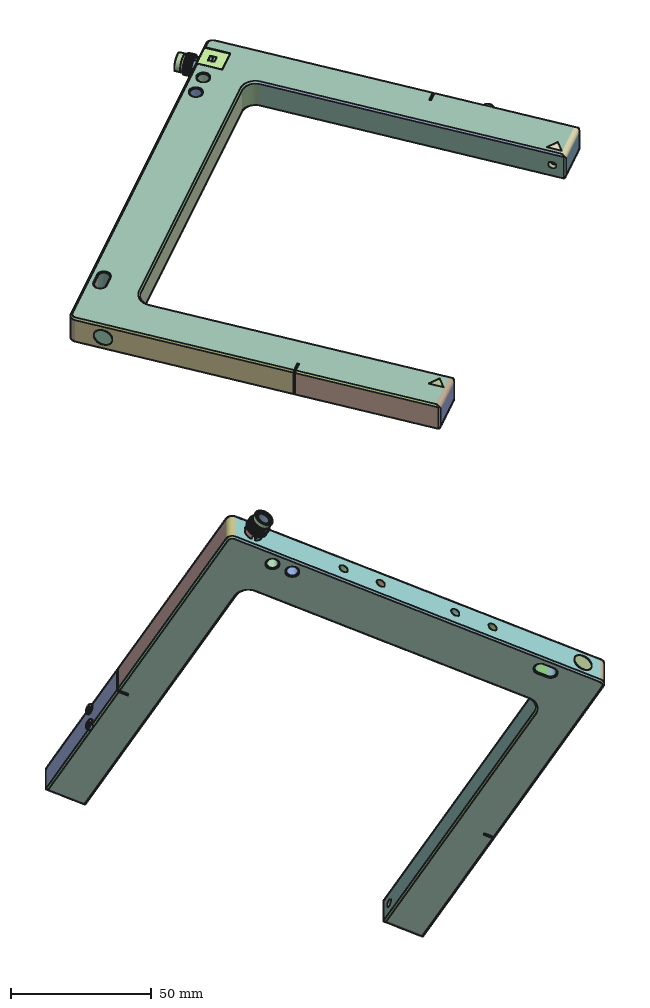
import cadquery as cq
import math

ARM_REACH = 140.0
FRAME_WIDTH = 152.0
OPENING = 120.0
SPINE_WIDTH = 20.0
THICKNESS = 12.0
OUTER_RADIUS = 2.5
INNER_RADIUS = 5.0
EDGE_CHAMFER = 0.7
TIP_RADIUS = 2.0

HALF_WIDTH = FRAME_WIDTH / 2
HALF_OPENING = OPENING / 2
TOP = THICKNESS / 2

MOUNT_X = 5.0
MOUNT_HOLE_YS = (56.0, 48.0)
MOUNT_SLOT_Y = -54.0
MOUNT_DIAMETER = 4.3
MOUNT_CHAMFER = 0.4
SLOT_TRAVEL = 4.0

SIDE_HOLE_YS = (30.0, 15.0, -15.0, -30.0)
SIDE_HOLE_DIAMETER = 3.3
SIDE_HOLE_DEPTH = 8.0

COVER_DIAMETER = 7.0
COVER_DEPTH = 0.2
CONNECTOR_Y = 66.5
COVER_X = 13.0

AXIS_X = 135.0
LENS_DIAMETER = 3.0
LENS_DEPTH = 2.0
MARK_WIDTH = 5.6
MARK_HEIGHT = 3.8
MARK_DEPTH = 0.1
MARK_BASE_YS = (62.2, -66.2)

GROOVE_X = 85.0
GROOVE_WIDTH = 0.6
GROOVE_LENGTH = 4.3
GROOVE_DEPTH = 0.3

WINDOW_LENGTH = 10.0
WINDOW_WIDTH = 8.8
WINDOW_DEPTH = 0.4

SWITCH_X = 3.5
SWITCH_SIZE = 2.5
SWITCH_DEPTH = 0.5
SLIDER_LENGTH = 1.2
SLIDER_DROP = 0.1

ADJUSTER_X = 105.5
ADJUSTER_DIAMETER = 4.0
ADJUSTER_Z = TOP - ADJUSTER_DIAMETER / 2
ADJUSTER_HEIGHT = 1.0
ADJUSTER_CHAMFER = 0.5
ADJUSTER_SLOT = 0.8
ADJUSTER_SLOT_DEPTH = 0.5
ADJUSTER_ROOT = 1.0

CONNECTOR_LENGTH = 8.42
NECK_LENGTH = 2.0
NECK_DIAMETER = 6.9
NECK_GAP = 1.4
NUT_LENGTH = 3.1
NUT_DIAMETER = 8.1
NUT_CHAMFER = 0.5
KNURL_COUNT = 24
KNURL_DIAMETER = 0.5
BARREL_DIAMETER = 6.3
LIP_LENGTH = 2.2
LIP_DIAMETER = 7.0
SOCKET_DIAMETER = 4.4
SOCKET_DEPTH = 4.0
SOCKET_RIM_DIAMETER = 5.6
SOCKET_RIM_DEPTH = 0.4


def box(x_range, y_range, z_range):
    """Box spanning the given ranges."""
    sizes = [end - start for start, end in (x_range, y_range, z_range)]
    corner = (x_range[0], y_range[0], z_range[0])
    return cq.Workplane("XY").box(*sizes, centered=False).translate(corner)


def rod(start, direction, diameter, length):
    """Cylinder from a start point along a direction."""
    return cq.Workplane(cq.Solid.makeCylinder(
        diameter / 2, length, cq.Vector(*start), cq.Vector(*direction)))


def make_frame():
    """U-shaped frame with bevelled edges and rounded arm tips."""
    blank = box((0, ARM_REACH), (-HALF_WIDTH, HALF_WIDTH), (-TOP, TOP))
    blank = blank.edges("|Z and <X").fillet(OUTER_RADIUS)
    blank = blank.edges("|Z and >X").chamfer(EDGE_CHAMFER)
    opening = box((SPINE_WIDTH, ARM_REACH), (-HALF_OPENING, HALF_OPENING), (-TOP, TOP))
    opening = opening.edges("|Z and <X").fillet(INNER_RADIUS)
    frame = blank.cut(opening)
    inner_tips = cq.selectors.BoxSelector(
        (ARM_REACH - EDGE_CHAMFER, -HALF_OPENING - EDGE_CHAMFER, -TOP),
        (ARM_REACH + EDGE_CHAMFER, HALF_OPENING + EDGE_CHAMFER, TOP))
    frame = frame.edges(inner_tips).edges("|Z").chamfer(EDGE_CHAMFER)
    frame = frame.faces("<Z or >Z").edges().chamfer(EDGE_CHAMFER)
    rounded_tips = box((0, ARM_REACH), (-HALF_WIDTH, HALF_WIDTH), (-TOP, TOP))
    rounded_tips = rounded_tips.edges("|Y and >X").fillet(TIP_RADIUS)
    return frame.intersect(rounded_tips)


def mount_cut(y, travel):
    """Chamfered through hole, stretched along Y by the travel."""
    def outline(z, diameter):
        plane = cq.Workplane("XY").workplane(offset=z)
        if travel:
            return plane.slot2D(diameter + travel, diameter, 90)
        return plane.circle(diameter / 2)

    cut = outline(-TOP, MOUNT_DIAMETER).extrude(THICKNESS)
    for side in (-1, 1):
        rim = outline(side * TOP, MOUNT_DIAMETER + 2 * MOUNT_CHAMFER)
        cut = cut.union(rim.extrude(-side * MOUNT_CHAMFER, taper=45))
    return cut.translate((MOUNT_X, y, 0))


def cut_mounting(frame):
    """Two mounting holes and a mounting slot through the spine."""
    for y in MOUNT_HOLE_YS:
        frame = frame.cut(mount_cut(y, 0))
    return frame.cut(mount_cut(MOUNT_SLOT_Y, SLOT_TRAVEL))


def cut_sides(frame):
    """Blind holes in the spine and the two round cover recesses."""
    for y in SIDE_HOLE_YS:
        frame = frame.cut(rod((0, y, 0), (1, 0, 0), SIDE_HOLE_DIAMETER, SIDE_HOLE_DEPTH))
    frame = frame.cut(rod((0, -CONNECTOR_Y, 0), (1, 0, 0), COVER_DIAMETER, COVER_DEPTH))
    return frame.cut(rod((COVER_X, -HALF_WIDTH, 0), (0, 1, 0), COVER_DIAMETER, COVER_DEPTH))


def cut_optics(frame):
    """Facing lens holes and the triangular axis marks on the top face."""
    for side in (-1, 1):
        lens = rod((AXIS_X, side * HALF_OPENING, 0), (0, side, 0), LENS_DIAMETER, LENS_DEPTH)
        frame = frame.cut(lens)
    for base_y in MARK_BASE_YS:
        corners = (
            (AXIS_X - MARK_WIDTH / 2, base_y),
            (AXIS_X + MARK_WIDTH / 2, base_y),
            (AXIS_X, base_y + MARK_HEIGHT),
        )
        mark = cq.Workplane("XY").workplane(offset=TOP).polyline(corners).close()
        frame = frame.cut(mark.extrude(-MARK_DEPTH))
    return frame


def cut_grooves(frame):
    """Shallow groove running over the outer side and both flat faces of each arm."""
    reach = HALF_WIDTH - GROOVE_LENGTH
    x_range = (GROOVE_X - GROOVE_WIDTH / 2, GROOVE_X + GROOVE_WIDTH / 2)
    depth_y = HALF_WIDTH - GROOVE_DEPTH
    depth_z = TOP - GROOVE_DEPTH
    core = box(x_range, (-depth_y, depth_y), (-depth_z, depth_z))
    core = core.edges("|X").chamfer(EDGE_CHAMFER)
    for y_range in ((-HALF_WIDTH, -reach), (reach, HALF_WIDTH)):
        frame = frame.cut(box(x_range, y_range, (-TOP, TOP)).cut(core))
    return frame


def cut_window(frame):
    """Recessed window at the connector with the slide switch in its floor."""
    floor = TOP - WINDOW_DEPTH
    half = WINDOW_WIDTH / 2
    window = box((0, WINDOW_LENGTH), (CONNECTOR_Y - half, CONNECTOR_Y + half), (floor, TOP))
    frame = frame.cut(window)
    half = SWITCH_SIZE / 2
    y_range = (CONNECTOR_Y - half, CONNECTOR_Y + half)
    switch_end = SWITCH_X + SWITCH_SIZE
    slider_start = switch_end - SLIDER_LENGTH
    frame = frame.cut(box((SWITCH_X, slider_start), y_range, (floor - SWITCH_DEPTH, floor)))
    return frame.cut(box((slider_start, switch_end), y_range, (floor - SLIDER_DROP, floor)))


def make_adjuster(z):
    """Slotted round head standing on the outer side of the +Y arm."""
    head = rod((0, -ADJUSTER_ROOT, 0), (0, 1, 0), ADJUSTER_DIAMETER, ADJUSTER_HEIGHT + ADJUSTER_ROOT)
    head = head.faces(">Y").edges().chamfer(ADJUSTER_CHAMFER)
    slot = box(
        (-ADJUSTER_SLOT / 2, ADJUSTER_SLOT / 2),
        (ADJUSTER_HEIGHT - ADJUSTER_SLOT_DEPTH, ADJUSTER_HEIGHT),
        (-ADJUSTER_DIAMETER, ADJUSTER_DIAMETER))
    return head.cut(slot).translate((ADJUSTER_X, HALF_WIDTH, z))


def make_connector():
    """Connector along -X from the origin: slotted neck, knurled nut, barrel and lip."""
    out = (-1, 0, 0)
    neck = rod((0, 0, 0), out, NECK_DIAMETER, NECK_LENGTH)
    half = NECK_DIAMETER / 2
    gap = NECK_GAP / 2
    neck = neck.cut(box((-NECK_LENGTH, 0), (-half, half), (-gap, gap)))
    neck = neck.cut(box((-NECK_LENGTH, 0), (-gap, gap), (-half, half)))
    nut_end = NECK_LENGTH + NUT_LENGTH
    nut = rod((-NECK_LENGTH, 0, 0), out, NUT_DIAMETER, NUT_LENGTH)
    nut = nut.faces(">X").edges().chamfer(NUT_CHAMFER)
    for index in range(KNURL_COUNT):
        angle = 2 * math.pi * index / KNURL_COUNT
        y = NUT_DIAMETER / 2 * math.cos(angle)
        z = NUT_DIAMETER / 2 * math.sin(angle)
        nut = nut.cut(rod((-NECK_LENGTH, y, z), out, KNURL_DIAMETER, NUT_LENGTH))
    barrel = rod((-nut_end, 0, 0), out, BARREL_DIAMETER, CONNECTOR_LENGTH - nut_end)
    lip = rod((LIP_LENGTH - CONNECTOR_LENGTH, 0, 0), out, LIP_DIAMETER, LIP_LENGTH)
    socket = rod((-CONNECTOR_LENGTH, 0, 0), (1, 0, 0), SOCKET_DIAMETER, SOCKET_DEPTH)
    rim = rod((-CONNECTOR_LENGTH, 0, 0), (1, 0, 0), SOCKET_RIM_DIAMETER, SOCKET_RIM_DEPTH)
    body = neck.union(nut).union(barrel).union(lip)
    return body.cut(socket).cut(rim).translate((0, CONNECTOR_Y, 0))


part = make_frame()
part = cut_mounting(part)
part = cut_sides(part)
part = cut_optics(part)
part = cut_grooves(part)
part = cut_window(part)
for side in (-1, 1):
    part = part.union(make_adjuster(side * ADJUSTER_Z))
result = part.union(make_connector())